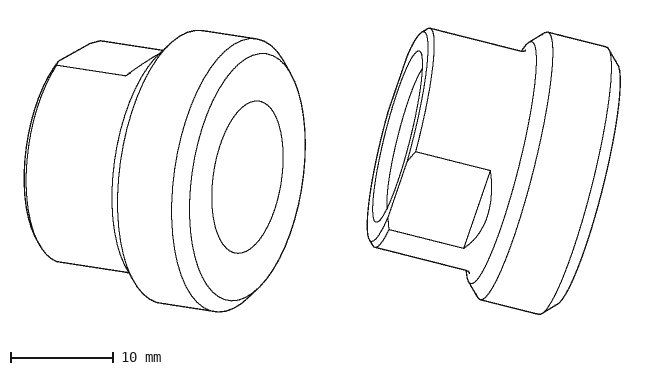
import cadquery as cq

length = 19.0
collar_radius = 13.42
body_radius = 22.0 / 2
bore_radius = 14.95 / 2

body_chamfer = 0.48
root_fillet = 0.75
collar_start = 10.5

collar_chamfer = 1.3

mouth_radius = 8.6
mouth_depth = mouth_radius - bore_radius

flat_height = 10.0
flat_length = 8.05
cutter_height = 2.68


def turned_body():
    """Revolve the half section about the X axis."""
    collar_face_radius = collar_radius - collar_chamfer
    fillet_end = (collar_start, body_radius + root_fillet)
    fillet_offset = root_fillet * 0.5 ** 0.5
    fillet_middle = (
        collar_start - root_fillet + fillet_offset,
        body_radius + root_fillet - fillet_offset,
    )
    profile = (
        cq.Workplane("XY")
        .moveTo(0, mouth_radius)
        .lineTo(0, body_radius - body_chamfer)
        .lineTo(body_chamfer, body_radius)
        .lineTo(collar_start - root_fillet, body_radius)
        .threePointArc(fillet_middle, fillet_end)
        .lineTo(collar_start, collar_face_radius)
        .lineTo(collar_start + collar_chamfer, collar_radius)
        .lineTo(length - collar_chamfer, collar_radius)
        .lineTo(length, collar_face_radius)
        .lineTo(length, bore_radius)
        .lineTo(mouth_depth, bore_radius)
        .close()
    )
    return profile.revolve(360, (0, 0, 0), (1, 0, 0))


def flat_cutter():
    """Prism above the upper flat, ending in a 45 degree slope."""
    slope_rise = body_radius - flat_height
    return (
        cq.Workplane("XZ")
        .moveTo(0, flat_height)
        .lineTo(flat_length, flat_height)
        .lineTo(flat_length + slope_rise, body_radius)
        .lineTo(flat_length + slope_rise, flat_height + cutter_height)
        .lineTo(0, flat_height + cutter_height)
        .close()
        .extrude(collar_radius, both=True)
    )


upper_cutter = flat_cutter()
lower_cutter = upper_cutter.mirror("XY")
result = turned_body().cut(upper_cutter).cut(lower_cutter)